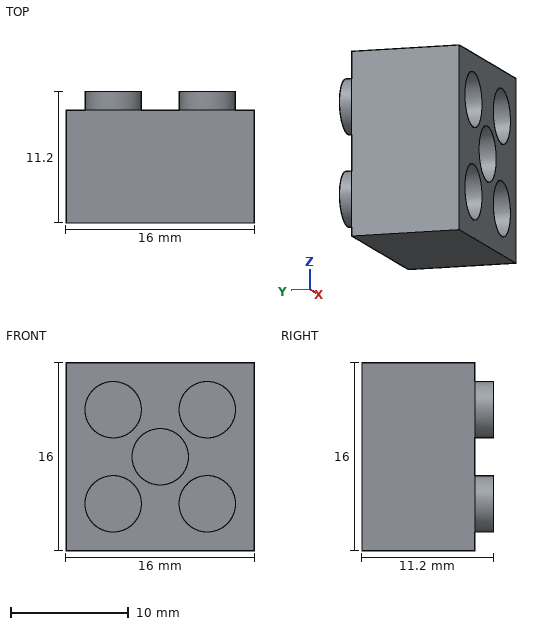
import cadquery as cq

block_width = 16.0
block_depth = 9.6
block_height = 16.0

stud_diameter = 4.8
stud_height = 1.6
stud_pitch = 8.0
socket_diameter = stud_diameter
socket_depth = 1.6

half_pitch = stud_pitch / 2
corner_centres = [(x, z) for x in (-half_pitch, half_pitch) for z in (-half_pitch, half_pitch)]
socket_centres = corner_centres + [(0, 0)]


def cylinders_along_y(centres, diameter, y_start, y_end):
    """Equal cylinders at the given (x, z) centres, running from y_start to y_end."""
    return (
        cq.Workplane("XZ", origin=(0, y_start, 0))
        .pushPoints(centres)
        .circle(diameter / 2)
        .extrude(y_start - y_end)
    )


block = cq.Workplane("XY").box(block_width, block_depth, block_height, centered=(True, False, True))
studs = cylinders_along_y(corner_centres, stud_diameter, block_depth, block_depth + stud_height)
sockets = cylinders_along_y(socket_centres, socket_diameter, 0, socket_depth)

result = block.union(studs).cut(sockets)